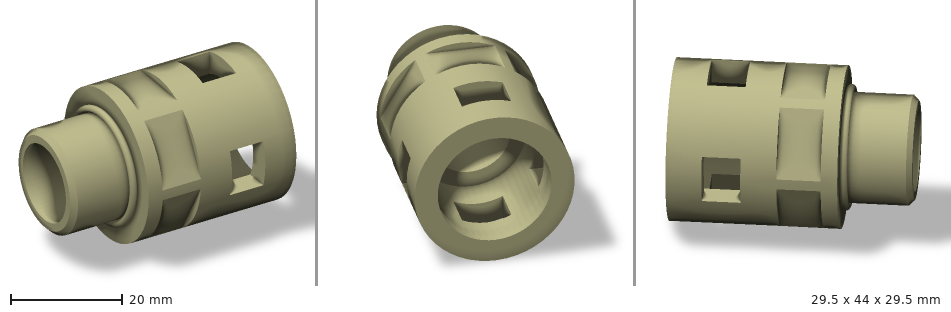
import cadquery as cq

total_length = 44.0
body_length = 31.0
stud_end_y = -total_length / 2
socket_end_y = total_length / 2
shoulder_y = socket_end_y - body_length

body_diameter = 29.5
stud_diameter = 20.0
bore_diameter = 15.0
socket_diameter = 21.0

socket_depth = 20.0

tip_chamfer = 1.0
ring_section_diameter = 1.45
ring_outer_diameter = 22.8

window_count = 4
window_width = 9.1
window_length = 7.0
window_setback = 6.5

flat_count = 6
across_flats = 26.5
flat_length = 8.0
flat_setback = 20.0


def cylinder(diameter, start_y, length):
    """Cylinder on the Y axis, extending from start_y towards +Y."""
    plane = cq.Workplane("XZ", origin=(0, start_y, 0))
    return plane.circle(diameter / 2).extrude(-length)


def make_outer_shape():
    body = cylinder(body_diameter, shoulder_y, body_length)
    stud = cylinder(stud_diameter, stud_end_y, total_length - body_length)
    stud = stud.faces("<Y").chamfer(tip_chamfer)
    return body.union(stud)


def make_sealing_ring():
    """Round-section ring around the stud, resting against the shoulder."""
    section_radius = ring_section_diameter / 2
    center_x = ring_outer_diameter / 2 - section_radius
    center_y = shoulder_y - section_radius
    section = cq.Workplane("XY").center(-center_x, center_y).circle(section_radius)
    return section.revolve(360, (center_x, 0, 0), (center_x, 1, 0))


def cut_spanner_flats(part):
    """Cut flats into the body, with one facing +Z."""
    cut_depth = (body_diameter - across_flats) / 2
    center_y = socket_end_y - flat_setback - flat_length / 2
    center_z = (across_flats + cut_depth) / 2
    cutter = cq.Workplane("XY").box(body_diameter, flat_length, cut_depth)
    cutter = cutter.translate((0, center_y, center_z))
    for index in range(flat_count):
        angle = index * 360 / flat_count
        part = part.cut(cutter.rotate((0, 0, 0), (0, 1, 0), angle))
    return part


def cut_windows(part):
    """Cut rectangular windows facing +X, -X, +Z and -Z."""
    center_y = socket_end_y - window_setback - window_length / 2
    cutter = cq.Workplane("XY").box(window_width, window_length, body_diameter / 2)
    cutter = cutter.translate((0, center_y, body_diameter / 4))
    for index in range(window_count):
        angle = index * 360 / window_count
        part = part.cut(cutter.rotate((0, 0, 0), (0, 1, 0), angle))
    return part


def cut_bores(part):
    bore = cylinder(bore_diameter, stud_end_y, total_length)
    socket = cylinder(socket_diameter, socket_end_y - socket_depth, socket_depth)
    return part.cut(bore).cut(socket)


result = make_outer_shape().union(make_sealing_ring())
result = cut_spanner_flats(result)
result = cut_windows(result)
result = cut_bores(result)